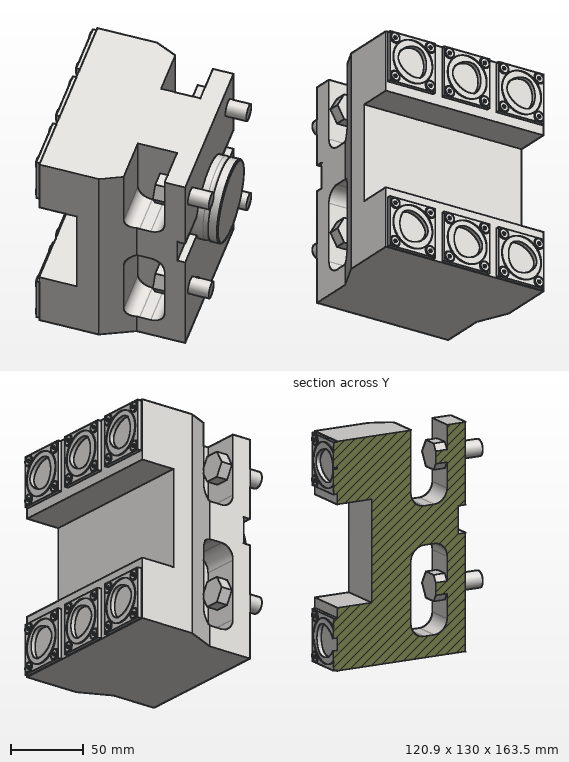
import cadquery as cq
import math

BODY_LENGTH = 101.7
BODY_WIDTH = 130.0
BODY_HEIGHT = 163.5
REAR_WIDTH = 108.2
TAPER_START_X = 43.0
TAPER_END_X = 66.7

RECESS_DEPTH = 27.0
RECESS_HEIGHT = 73.2

POCKET_START_X = 58.5
POCKET_END_X = 86.8
POCKET_RADIUS = 10.1
POCKET_FLOOR_Y = 26.0
UPPER_POCKET_BOTTOM_Z = 108.4
LOWER_POCKET_BOTTOM_Z = 15.5
LOWER_POCKET_TOP_Z = 80.1

BOLT_Y = 42.0
BOLT_HEIGHTS = (47.7, 141.3)
BOLT_DIAMETER = 12.3
BOLT_END_X = 116.5
HEAD_ACROSS_FLATS = 18.8
HEAD_THICKNESS = 8.8

SPIGOT_Z = 94.5
SPIGOT_RADIUS = 30.0
SPIGOT_END_X = 117.4
SPIGOT_CHAMFER = 0.8
GROOVE_START_X = 106.5
GROOVE_RADIUS = 4.0
KEY_SLOT_DEPTH = 5.5
KEY_SLOT_HEIGHT = 19.6

DISC_DIAMETER = 7.4
DISC_HEIGHT = 0.7
DISC_Y = -29.3
DISC_Z = 37.0

PLATE_SIZE = 37.3
PLATE_THICKNESS = 2.8
PLATE_PITCH = 44.8
PLATE_EDGE_MARGIN = 0.5

PROUD_HEIGHT = 0.7
COVER_DIAMETER = 32.2
SCREW_SPACING = 29.0
SCREW_HEAD_DIAMETER = 7.8
SCREW_HEAD_CHAMFER = 0.5
SOCKET_ACROSS_CORNERS = 2.3
SOCKET_DEPTH = 1.3

LOBE_MEAN_RADIUS = 11.6
LOBE_ECCENTRICITY = 0.7
LOBE_CURVE_POINTS = 60


def yz_plane(x):
    """Plane facing +X at the given x, with local axes along Y and Z."""
    return cq.Workplane("YZ", origin=(x, 0, 0))


def make_body():
    front_y = BODY_WIDTH / 2
    rear_y = REAR_WIDTH / 2
    body = (
        cq.Workplane("XY")
        .polyline([
            (0, -front_y),
            (TAPER_START_X, -front_y),
            (TAPER_END_X, -rear_y),
            (BODY_LENGTH, -rear_y),
            (BODY_LENGTH, rear_y),
            (TAPER_END_X, rear_y),
            (TAPER_START_X, front_y),
            (0, front_y),
        ])
        .close()
        .extrude(BODY_HEIGHT)
    )
    recess = cq.Workplane("XY").box(2 * RECESS_DEPTH, BODY_WIDTH, RECESS_HEIGHT)
    return body.cut(recess.translate((0, 0, BODY_HEIGHT / 2)))


def make_pocket(side, bottom_z, top_z):
    """Round-cornered pocket running outward from its flat floor; side is -1 or +1."""
    length = POCKET_END_X - POCKET_START_X
    width = BODY_WIDTH / 2 - POCKET_FLOOR_Y
    center = (
        (POCKET_START_X + POCKET_END_X) / 2,
        side * (POCKET_FLOOR_Y + width / 2),
        (bottom_z + top_z) / 2,
    )
    pocket = cq.Workplane("XY").box(length, width, top_z - bottom_z)
    return pocket.edges("|Y").fillet(POCKET_RADIUS).translate(center)


def make_bolt(y, z):
    """Hexagon-head bolt along X with a flat of the head on top."""
    across_corners = HEAD_ACROSS_FLATS / math.cos(math.pi / 6)
    head = (
        yz_plane(POCKET_END_X - HEAD_THICKNESS)
        .center(y, z)
        .polygon(6, across_corners)
        .extrude(HEAD_THICKNESS)
    )
    shank = (
        yz_plane(POCKET_END_X)
        .center(y, z)
        .circle(BOLT_DIAMETER / 2)
        .extrude(BOLT_END_X - POCKET_END_X)
    )
    return head.union(shank)


def make_spigot():
    """Turned spigot with a groove that rolls over from one side to a square wall."""
    start_x = BODY_LENGTH - KEY_SLOT_DEPTH
    groove_end_x = GROOVE_START_X + GROOVE_RADIUS
    arc_mid = GROOVE_RADIUS * math.sqrt(0.5)
    groove_floor = SPIGOT_RADIUS - GROOVE_RADIUS
    profile = (
        cq.Workplane("XY")
        .moveTo(start_x, 0)
        .lineTo(start_x, SPIGOT_RADIUS)
        .lineTo(GROOVE_START_X, SPIGOT_RADIUS)
        .threePointArc((GROOVE_START_X + arc_mid, groove_floor + arc_mid), (groove_end_x, groove_floor))
        .lineTo(groove_end_x, SPIGOT_RADIUS)
        .lineTo(SPIGOT_END_X - SPIGOT_CHAMFER, SPIGOT_RADIUS)
        .lineTo(SPIGOT_END_X, SPIGOT_RADIUS - SPIGOT_CHAMFER)
        .lineTo(SPIGOT_END_X, 0)
        .close()
    )
    return profile.revolve(360, (0, 0, 0), (1, 0, 0)).translate((0, 0, SPIGOT_Z))


def make_key_slot():
    slot = cq.Workplane("XY").box(2 * KEY_SLOT_DEPTH, BODY_WIDTH, KEY_SLOT_HEIGHT)
    return slot.translate((BODY_LENGTH, 0, SPIGOT_Z))


def lobe_point(angle):
    """Point on a constant-width curve with three lobes, the first toward +Y."""
    reach = LOBE_MEAN_RADIUS + LOBE_ECCENTRICITY * math.cos(3 * angle)
    slope = -3 * LOBE_ECCENTRICITY * math.sin(3 * angle)
    return (
        reach * math.cos(angle) - slope * math.sin(angle),
        reach * math.sin(angle) + slope * math.cos(angle),
    )


def screw_positions(x):
    """Corner points of the screw pattern on the plane at the given x."""
    return yz_plane(x).rect(SCREW_SPACING, SCREW_SPACING, forConstruction=True).vertices()


def make_plate(lobe_turn):
    """Plate centred on the X axis with its back at X = 0; lobe_turn rotates the lobed socket."""
    outer_x = -PLATE_THICKNESS - PROUD_HEIGHT
    plate = yz_plane(-PLATE_THICKNESS).rect(PLATE_SIZE, PLATE_SIZE).extrude(PLATE_THICKNESS)
    cover = yz_plane(outer_x).circle(COVER_DIAMETER / 2).extrude(PROUD_HEIGHT)
    screw_heads = screw_positions(outer_x).circle(SCREW_HEAD_DIAMETER / 2).extrude(PROUD_HEIGHT)
    screw_heads = screw_heads.faces("<X").edges().chamfer(SCREW_HEAD_CHAMFER)

    screw_sockets = screw_positions(outer_x).polygon(6, SOCKET_ACROSS_CORNERS).extrude(SOCKET_DEPTH)
    lobed_socket = (
        yz_plane(outer_x)
        .parametricCurve(lambda t: lobe_point(2 * math.pi * t), N=LOBE_CURVE_POINTS)
        .extrude(-outer_x)
        .rotate((0, 0, 0), (1, 0, 0), lobe_turn)
    )
    return plate.union(cover).union(screw_heads).cut(screw_sockets).cut(lobed_socket)


result = make_body()

for side in (-1, 1):
    upper_pocket = make_pocket(side, UPPER_POCKET_BOTTOM_Z, BODY_HEIGHT + 2 * POCKET_RADIUS)
    lower_pocket = make_pocket(side, LOWER_POCKET_BOTTOM_Z, LOWER_POCKET_TOP_Z)
    result = result.cut(upper_pocket).cut(lower_pocket)
    for bolt_z in BOLT_HEIGHTS:
        result = result.union(make_bolt(side * BOLT_Y, bolt_z))

result = result.cut(make_key_slot()).union(make_spigot())

disc = yz_plane(BODY_LENGTH).center(DISC_Y, DISC_Z).circle(DISC_DIAMETER / 2).extrude(DISC_HEIGHT)
result = result.union(disc)

lower_row_z = PLATE_EDGE_MARGIN + PLATE_SIZE / 2
upper_row_z = BODY_HEIGHT - lower_row_z
for row_z, lobe_turn in ((lower_row_z, 180), (upper_row_z, 0)):
    plate = make_plate(lobe_turn)
    for column in (-1, 0, 1):
        result = result.union(plate.translate((0, column * PLATE_PITCH, row_z)))